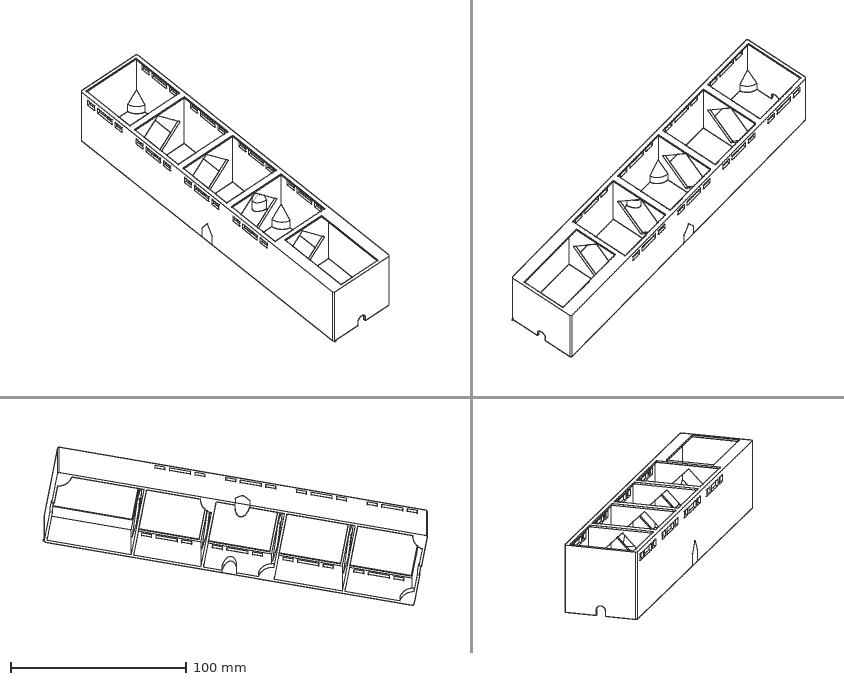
import cadquery as cq
LENGTH = 214.4
WIDTH = 43.5
HEIGHT = 40.5
CORNER_CHAMFER = 0.75
WALL = 1.5

PLATE_THICKNESS = 1.0
BAY_COUNT = 4
OPENING_LENGTH = 37.0
OPENING_WIDTH = 38.3
OPENING_ROW_LENGTH = 160.0
LAST_OPENING_WIDTH = 28.4
END_RIM = 2.0
LAST_BRIDGE = 2.8

SLOT_HEIGHT = 3.9
SLOT_MID_Z = 35.5
NARROW_SLOT = 5.8
WIDE_SLOT = 12.3
SLOT_SPACING = 11.6

DIAMOND_SIDE = 24.0

NOTCH_WIDTH = 5.5
NOTCH_HEIGHT = 6.0

FOOT_RADIUS = 8.5
FOOT_SHOULDER_Z = 6.0
FOOT_TIP_Z = 15.3

NUB_SIZE = 0.6
NUB_INSET = 0.6

POST_WIDTH = 8.5
POST_DEPTH = 8.0
POST_TIP_WIDTH = 0.6
POST_SHOULDER_Z = 7.3
POST_TIP_Z = 13.8

X_END = LENGTH / 2
Y_SIDE = WIDTH / 2
OPENING_PITCH = (OPENING_ROW_LENGTH - OPENING_LENGTH) / (BAY_COUNT - 1)
BRIDGE = OPENING_PITCH - OPENING_LENGTH
OPENING_STARTS = [-X_END + END_RIM + i * OPENING_PITCH for i in range(BAY_COUNT)]
LAST_OPENING_START = OPENING_STARTS[0] + OPENING_ROW_LENGTH + LAST_BRIDGE

DIVIDER_MIDDLES = [start - BRIDGE / 2 for start in OPENING_STARTS[1:]]
DIVIDER_MIDDLES.append(LAST_OPENING_START - LAST_BRIDGE / 2)


def block(x_min, x_max, y_min, y_max, z_min, z_max):
    """Box between opposite corners."""
    size = (x_max - x_min, y_max - y_min, z_max - z_min)
    return cq.Workplane("XY").box(*size, centered=False).translate((x_min, y_min, z_min))


def openings():
    """Openings through the top plate, one over every bay."""
    half = OPENING_WIDTH / 2
    last_half = LAST_OPENING_WIDTH / 2
    cutters = [block(x, x + OPENING_LENGTH, -half, half, 0, HEIGHT) for x in OPENING_STARTS]
    cutters.append(block(LAST_OPENING_START, X_END - END_RIM, -last_half, last_half, 0, HEIGHT))
    return cutters


def bays():
    """Cavities below the top plate, open at the bottom and separated by thin dividers."""
    half = Y_SIDE - WALL
    starts = [-X_END + WALL] + [middle + WALL / 2 for middle in DIVIDER_MIDDLES]
    ends = [middle - WALL / 2 for middle in DIVIDER_MIDDLES] + [X_END - WALL]
    top = HEIGHT - PLATE_THICKNESS
    return [block(x_min, x_max, -half, half, 0, top) for x_min, x_max in zip(starts, ends)]


def side_slots(bay_middle):
    """Three slots through both side walls, centred on one bay."""
    places = [(-SLOT_SPACING, NARROW_SLOT), (0, WIDE_SLOT), (SLOT_SPACING, NARROW_SLOT)]
    slots = []
    for offset, slot_width in places:
        slot = cq.Workplane("XY").box(slot_width, WIDTH, SLOT_HEIGHT)
        slots.append(slot.translate((bay_middle + offset, 0, SLOT_MID_Z)))
    return slots


def diamond_passage():
    """Square bar standing on its edge, running through all dividers."""
    bar_start = DIVIDER_MIDDLES[0] - WALL
    bar_length = DIVIDER_MIDDLES[-1] + WALL - bar_start
    bar = cq.Workplane("YZ").rect(DIAMOND_SIDE, DIAMOND_SIDE).extrude(bar_length)
    bar = bar.rotate((0, 0, 0), (1, 0, 0), 45)
    return bar.translate((bar_start, 0, HEIGHT / 2))


def end_notch(x_min):
    """Round-topped notch through the end wall that starts at x_min."""
    radius = NOTCH_WIDTH / 2
    spring_z = NOTCH_HEIGHT - radius
    return (
        cq.Workplane("YZ", origin=(x_min, 0, 0))
        .moveTo(-radius, 0)
        .lineTo(radius, 0)
        .lineTo(radius, spring_z)
        .threePointArc((0, NOTCH_HEIGHT), (-radius, spring_z))
        .close()
        .extrude(WALL)
    )


def foot(x_axis, x_direction, y_direction):
    """Quarter of a cone-topped cylinder whose axis lies on the outer side face."""
    start_angle = {(1, 1): 0, (-1, 1): 90, (-1, -1): 180, (1, -1): 270}[x_direction, y_direction]
    quarter = (
        cq.Workplane("XZ")
        .polyline([(0, 0), (FOOT_RADIUS, 0), (FOOT_RADIUS, FOOT_SHOULDER_Z), (0, FOOT_TIP_Z)])
        .close()
        .revolve(90, (0, 0, 0), (0, 1, 0))
    )
    quarter = quarter.rotate((0, 0, 0), (0, 0, 1), start_angle)
    return quarter.translate((x_axis, -y_direction * Y_SIDE, 0))


def feet():
    """Feet at the outer corners, and at the dividers before the third and fourth bay."""
    return [
        foot(-X_END, 1, 1),
        foot(-X_END, 1, -1),
        foot(DIVIDER_MIDDLES[1], 1, 1),
        foot(DIVIDER_MIDDLES[2], 1, -1),
        foot(X_END, -1, -1),
    ]


def post(side):
    """Half of an elliptical post with a conical tip, its axis on the outer side face."""
    tip_scale = POST_TIP_WIDTH / POST_WIDTH
    shank = cq.Workplane("XY").ellipse(POST_WIDTH / 2, POST_DEPTH).extrude(POST_SHOULDER_Z)
    tip = (
        cq.Workplane("XY", origin=(0, 0, POST_SHOULDER_Z))
        .ellipse(POST_WIDTH / 2, POST_DEPTH)
        .workplane(offset=POST_TIP_Z - POST_SHOULDER_Z)
        .ellipse(POST_TIP_WIDTH / 2, POST_DEPTH * tip_scale)
        .loft(ruled=True)
    )
    inner_half = block(-POST_WIDTH / 2, POST_WIDTH / 2, 0, POST_DEPTH, 0, POST_TIP_Z)
    body = shank.union(tip).intersect(inner_half).translate((0, -Y_SIDE, 0))
    return body if side < 0 else body.mirror("XZ")


def nub():
    """Small block standing out of the right-hand end wall."""
    y_min = -Y_SIDE + NUB_INSET
    x_min = X_END - WALL / 2
    return block(x_min, X_END + NUB_SIZE, y_min, y_min + NUB_SIZE, 0, NUB_SIZE)


def make_housing(posts):
    outside = cq.Workplane("XY").box(LENGTH, WIDTH, HEIGHT, centered=(True, True, False))
    outside = outside.edges("|Z").chamfer(CORNER_CHAMFER)
    body = outside
    for cutter in openings() + bays():
        body = body.cut(cutter)
    for start in OPENING_STARTS:
        for slot in side_slots(start + OPENING_LENGTH / 2):
            body = body.cut(slot)
    body = body.cut(diamond_passage())
    for one_foot in feet():
        body = body.union(one_foot.intersect(outside))
    body = body.cut(end_notch(-X_END)).cut(end_notch(X_END - WALL)).union(nub())
    for one_post in posts:
        body = body.cut(one_post)
    return body


posts = [post(side) for side in (-1, 1)]
housing = make_housing(posts)

result = cq.Compound.makeCompound([housing.val(), *[one_post.val() for one_post in posts]])